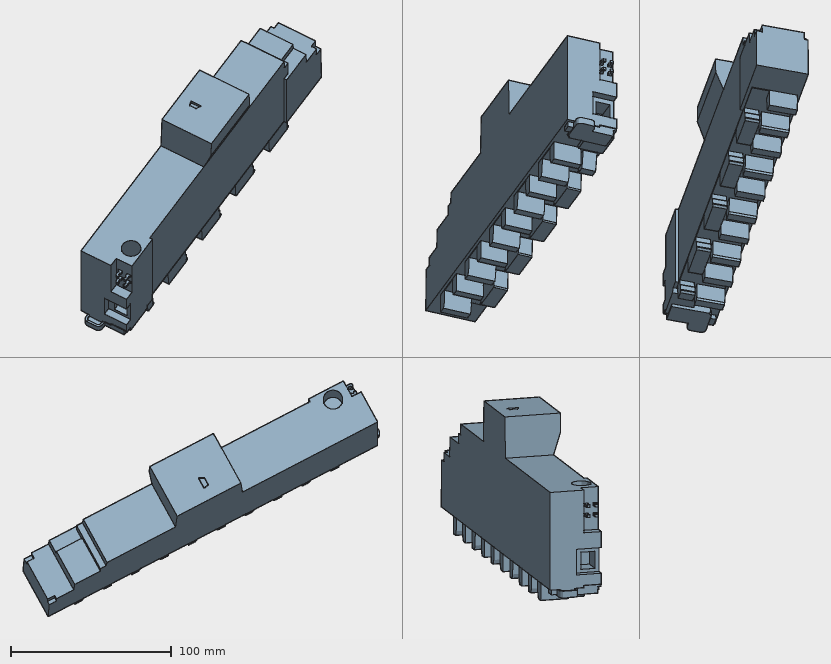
import cadquery as cq


body_width = 33.3
waist_width = 31.4
body_height = 62.5
front_block_length = 31.0
rear_block_start = 190.8
back_bottom_y = 232.3
back_top_y = 231.5

step_low_z = 36.0
step_low_start = 214.3
step_mid_z = 49.0
step_mid_start = 195.5
step_high_z = 55.4
step_high_start = 191.5
rear_corner_z = 44.7
rear_corner_x = 24.0
step_draft = 0.7

rear_notch_length = 5.0
rear_notch_height = 6.0
rear_notch_left_width = 2.4
rear_notch_right_width = 3.8

tower_top_z = 88.5
tower_width = 36.0
tower_slant_z = 76.7
tower_front_y = 95.3
tower_back_y = 142.5
tower_draft = 1.2
mark_depth = 2.0
mark_front_y = 114.7
mark_back_y = 118.0
mark_back_x = (8.0, 15.5)
mark_front_x = (8.8, 13.8)

recess_x = 21.9
recess_z = 35.2
recess_depth = 6.5
port_x = 17.0
port_z = (8.5, 25.0)
port_depth = 5.0
socket_x = (21.4, 30.6)
socket_z = (10.7, 21.5)
socket_depth = 11.9
screw_hole_diameter = 12.0
screw_hole_x = 25.7
screw_hole_y = 17.8
screw_hole_depth = 19.0

pin_height = 1.7
pin_length = 5.0
pin_levels = (45.1, 51.5)
pin_pair_x = 28.0
pin_inner = 1.7
pin_notched = 2.4
pin_outer = 3.8
pin_flared = 4.8
pin_flare_end = 1.0
pin_notch = (1.7, 3.5)
pin_notch_slant = 0.5
pin_tip_chamfer = (0.5, 0.7)

foot_depth = 12.8
foot_pairs = 5
foot_row_length = 160.0
foot_pitch = foot_row_length / (foot_pairs - 1)
foot_width = 6.7
tooth_tip_width = 4.8
rear_tooth_bends = [(6.0, 10.0), (6.5, 5.7)]
front_tooth_bends = [(0.2, 9.3), (1.0, 11.6)]
left_row_x = (2.0, 20.0)
right_row_x = (21.9, 31.1)
rear_foot_y = 212.4
front_foot_y = 193.1
clip_length = 20.2
last_clip_length = 6.0
clip_taper = 0.7
last_clip_taper = 2.1
clip_root_reach = 0.7
hook_reach = 2.0
hook_slant = 0.7
hook_top_depth = 5.7
toe_reach = 3.3
toe_top_depth = 11.2
toe_bottom_depth = 11.9
toe_chamfer = 0.5
web_thickness = 0.7

latch_x = (5.0, right_row_x[1])
latch_bottom_z = -4.3
latch_front_y = 0.7
latch_top_back_y = 16.0
latch_bottom_back_y = 12.8
latch_gap_top_z = 1.5
ramp_x = (17.0, body_width)
ramp_bottom_z = -2.9
ramp_front_y = 4.8
ramp_back_top_y = 25.2
ramp_back_bottom_y = 23.5
bevel = 1.5
bevel_start_y = 10.7
ear_x = 1.5
ear_y = (2.1, 7.8)
ear_bottom_z = -3.5
tongue_width = 12.0
tongue_reach = 5.2
tongue_radius = 3.0
tongue_wall = 1.5
tongue_pocket_depth = 1.5

overlap = 0.5


def box(x_range, y_range, z_range):
    """Axis-aligned block between the given limits."""
    (x0, x1), (y0, y1), (z0, z1) = x_range, y_range, z_range
    return cq.Workplane("XY").box(x1 - x0, y1 - y0, z1 - z0, centered=False).translate((x0, y0, z0))


def side_prism(points, x_range):
    """(Y, Z) outline extruded along X."""
    x0, x1 = x_range
    return cq.Workplane("YZ").workplane(offset=x0).polyline(points).close().extrude(x1 - x0)


def flat_prism(points, bottom_z, height):
    """(X, Y) outline extruded upward from bottom_z."""
    return cq.Workplane("XY").workplane(offset=bottom_z).polyline(points).close().extrude(height)


def make_housing():
    housing = side_prism(
        [
            (0, 0),
            (back_bottom_y, 0),
            (back_top_y, step_low_z),
            (step_low_start, step_low_z),
            (step_low_start - step_draft, step_mid_z),
            (step_mid_start, step_mid_z),
            (step_mid_start, step_high_z),
            (step_high_start, step_high_z),
            (step_high_start - step_draft, body_height),
            (0, body_height),
        ],
        (0, body_width),
    )
    housing = housing.cut(
        box((waist_width, body_width), (front_block_length, rear_block_start), (0, body_height))
    )
    housing = housing.cut(
        box((rear_corner_x, body_width), (step_mid_start, step_low_start), (rear_corner_z, body_height))
    )
    housing = housing.cut(
        box((waist_width, body_width), (rear_block_start, step_low_start), (rear_corner_z, body_height))
    )
    notch_y = (back_top_y - rear_notch_length, back_bottom_y)
    notch_z = (step_low_z - rear_notch_height, step_low_z)
    housing = housing.cut(box((0, rear_notch_left_width), notch_y, notch_z))
    return housing.cut(box((body_width - rear_notch_right_width, body_width), notch_y, notch_z))


def make_tower():
    base_z = body_height - overlap
    side = side_prism(
        [
            (tower_front_y, base_z),
            (tower_back_y, base_z),
            (tower_back_y, body_height),
            (tower_back_y - tower_draft, tower_top_z),
            (tower_front_y + tower_draft, tower_top_z),
            (tower_front_y, body_height),
        ],
        (0, tower_width),
    )
    front_outline = [
        (0, base_z),
        (waist_width, base_z),
        (waist_width, body_height),
        (tower_width, tower_slant_z),
        (tower_width, tower_top_z),
        (0, tower_top_z),
    ]
    front = cq.Workplane("XZ").polyline(front_outline).close().extrude(-tower_back_y)
    mark = flat_prism(
        [
            (mark_front_x[0], mark_front_y),
            (mark_front_x[1], mark_front_y),
            (mark_back_x[1], mark_back_y),
            (mark_back_x[0], mark_back_y),
        ],
        tower_top_z - mark_depth,
        mark_depth,
    )
    return side.intersect(front).cut(mark)


def cut_front_openings(housing):
    housing = housing.cut(box((recess_x, body_width), (0, recess_depth), (recess_z, body_height)))
    housing = housing.cut(box((port_x, body_width), (0, port_depth), port_z))
    housing = housing.cut(box(socket_x, (port_depth, port_depth + socket_depth), socket_z))
    screw_hole = (
        cq.Workplane("XY")
        .workplane(offset=body_height - screw_hole_depth)
        .center(screw_hole_x, screw_hole_y)
        .circle(screw_hole_diameter / 2)
        .extrude(screw_hole_depth)
    )
    housing = housing.cut(screw_hole)
    return housing.cut(box((recess_x, body_width), (0, latch_front_y), (0, latch_gap_top_z)))


def make_pin(side, level):
    """Pin with a flared root and a notch on its inner edge; side is -1 or +1 from the pair centre."""
    outline = [
        (pin_inner, -overlap),
        (pin_inner, pin_notch[0]),
        (pin_notched, pin_notch[0] + pin_notch_slant),
        (pin_notched, pin_notch[1]),
        (pin_inner, pin_notch[1]),
        (pin_inner, pin_length),
        (pin_outer - pin_tip_chamfer[0], pin_length),
        (pin_outer, pin_length - pin_tip_chamfer[1]),
        (pin_outer, pin_flare_end),
        (pin_flared, 0),
        (pin_flared, -overlap),
    ]
    points = [(pin_pair_x + side * across, recess_depth - out) for across, out in outline]
    return flat_prism(points, level - pin_height / 2, pin_height)


def foot_prism(origin_y, outline, x_range):
    """Foot whose outline gives (distance toward the front, depth below the housing)."""
    return side_prism([(origin_y - forward, -depth) for forward, depth in outline], x_range)


def make_foot_pair(shift, body_length, taper):
    """Rear tooth, front tooth and the hooked clip beside the front tooth."""
    rear_tooth = foot_prism(
        rear_foot_y - shift,
        [
            (0, -overlap),
            (0, foot_depth),
            (tooth_tip_width, foot_depth),
            *rear_tooth_bends,
            (foot_width, -overlap),
        ],
        left_row_x,
    )
    front_tooth = foot_prism(
        front_foot_y - shift,
        [
            (0, -overlap),
            *front_tooth_bends,
            (foot_width - tooth_tip_width, foot_depth),
            (foot_width, foot_depth),
            (foot_width, -overlap),
        ],
        left_row_x,
    )
    clip = foot_prism(
        front_foot_y - shift,
        [
            (-clip_root_reach, -overlap),
            (-clip_root_reach, hook_top_depth - hook_slant),
            (-hook_reach, hook_top_depth),
            (-hook_reach, toe_top_depth),
            (-toe_reach, toe_top_depth),
            (-toe_reach, toe_bottom_depth),
            (-hook_reach, foot_depth),
            (body_length - taper - toe_chamfer, foot_depth),
            (body_length - taper, toe_bottom_depth),
            (body_length, -overlap),
        ],
        right_row_x,
    )
    web = box(
        (left_row_x[0], right_row_x[1]),
        (front_foot_y - shift - foot_width, rear_foot_y - shift),
        (-web_thickness, overlap),
    )
    return rear_tooth.union(front_tooth).union(clip).union(web)


def make_latch():
    latch = side_prism(
        [
            (latch_front_y, latch_bottom_z),
            (latch_bottom_back_y, latch_bottom_z),
            (latch_top_back_y, 0),
            (latch_top_back_y, overlap),
            (latch_front_y, overlap),
        ],
        latch_x,
    )
    left_x = latch_x[0]
    left_bevel = flat_prism(
        [
            (left_x, bevel_start_y),
            (left_x + bevel, bevel_start_y + bevel),
            (left_x + bevel, latch_top_back_y),
            (left_x, latch_top_back_y),
        ],
        latch_bottom_z,
        -latch_bottom_z,
    )
    latch = latch.cut(left_bevel)
    ramp = side_prism(
        [
            (ramp_front_y, ramp_bottom_z),
            (ramp_back_bottom_y, ramp_bottom_z),
            (ramp_back_top_y, 0),
            (ramp_back_top_y, overlap),
            (ramp_front_y, overlap),
        ],
        ramp_x,
    )
    ear = box((ear_x, latch_x[0] + overlap), ear_y, (ear_bottom_z, overlap))

    tongue_x = (latch_x[0], latch_x[0] + tongue_width)
    tongue = box(tongue_x, (-tongue_reach, latch_front_y + overlap), (latch_bottom_z, 0))
    tongue = tongue.edges("|Z and <Y").fillet(tongue_radius)
    pocket = box(
        (tongue_x[0] + tongue_wall, tongue_x[1] - tongue_wall),
        (tongue_wall - tongue_reach, 0),
        (-tongue_pocket_depth, 0),
    )
    pocket = pocket.edges("|Z and <Y").fillet(tongue_radius - tongue_wall)
    return latch.union(ramp).union(ear).union(tongue.cut(pocket))


result = cut_front_openings(make_housing()).union(make_tower())

for pin_level in pin_levels:
    for pin_side in (-1, 1):
        result = result.union(make_pin(pin_side, pin_level))

for index in range(foot_pairs):
    is_last = index == foot_pairs - 1
    length = last_clip_length if is_last else clip_length
    end_taper = last_clip_taper if is_last else clip_taper
    result = result.union(make_foot_pair(index * foot_pitch, length, end_taper))

result = result.union(make_latch())